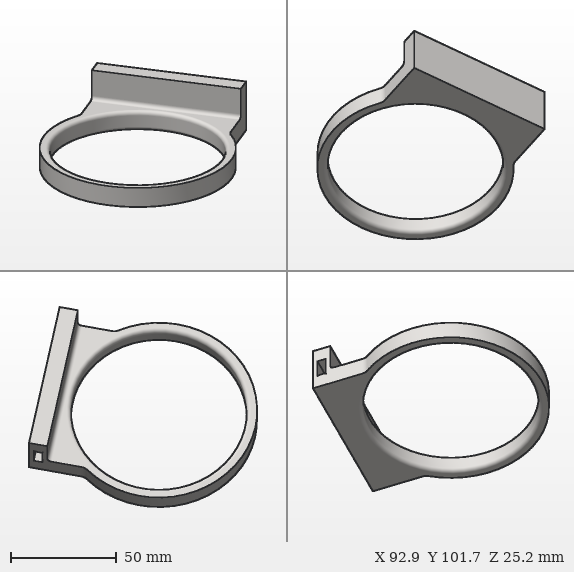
import cadquery as cq
import math

outer_diameter = 92.9
bore_diameter = 83.0
ring_height = 10.0
bore_rounding = 2.0

total_length = 101.7
total_height = 25.2
plate_width = 73.6
wall_thickness = 8.8
wall_root_radius = 2.0
neck_radius = 5.1

pocket_width = 4.2
pocket_height = 9.7
pocket_floor = 7.7
pocket_depth = 20.3

outer_radius = outer_diameter / 2
back_y = total_length - outer_radius
wall_front_y = back_y - wall_thickness
half_width = plate_width / 2
selection_margin = 1.0


def make_base():
    """Disc and plate joined, with rounded inside corners where they meet."""
    disc = cq.Workplane("XY").circle(outer_radius).extrude(ring_height)
    plate = cq.Workplane("XY").box(plate_width, back_y, ring_height, centered=(True, False, False))
    neck_y = math.sqrt(outer_radius**2 - half_width**2)
    neck_edges = cq.selectors.BoxSelector(
        (-half_width - selection_margin, neck_y - selection_margin, 0),
        (half_width + selection_margin, neck_y + selection_margin, ring_height),
    )
    return disc.union(plate).edges("|Z").edges(neck_edges).fillet(neck_radius)


def make_wall():
    """Full-height wall along the back edge of the plate."""
    return (
        cq.Workplane("XY")
        .box(plate_width, wall_thickness, total_height, centered=(True, False, False))
        .translate((0, wall_front_y, 0))
    )


def round_wall_root(body):
    """Fillet the inside corner between the wall and the plate."""
    root_edge = cq.selectors.NearestToPointSelector((0, wall_front_y, ring_height))
    return body.edges("|X").edges(root_edge).fillet(wall_root_radius)


def make_bore():
    """Through-bore cutter that flares at both ends to round the bore's rims."""
    bore_radius = bore_diameter / 2
    rim_radius = bore_radius + bore_rounding
    mid_radius = bore_radius + bore_rounding * (1 - math.sqrt(0.5))
    mid_height = bore_rounding * (1 - math.sqrt(0.5))
    return (
        cq.Workplane("XZ")
        .lineTo(rim_radius, 0)
        .threePointArc((mid_radius, mid_height), (bore_radius, bore_rounding))
        .lineTo(bore_radius, ring_height - bore_rounding)
        .threePointArc((mid_radius, ring_height - mid_height), (rim_radius, ring_height))
        .lineTo(0, ring_height)
        .close()
        .revolve(360, (0, 0, 0), (0, 1, 0))
    )


def make_pocket():
    """Rectangular pocket centred across the wall thickness."""
    pocket_y = wall_front_y + wall_thickness / 2
    return (
        cq.Workplane("XY")
        .box(pocket_depth, pocket_width, pocket_height, centered=(False, True, False))
        .translate((-half_width, pocket_y, pocket_floor))
    )


bracket = round_wall_root(make_base().union(make_wall()))
result = bracket.cut(make_bore()).cut(make_pocket())